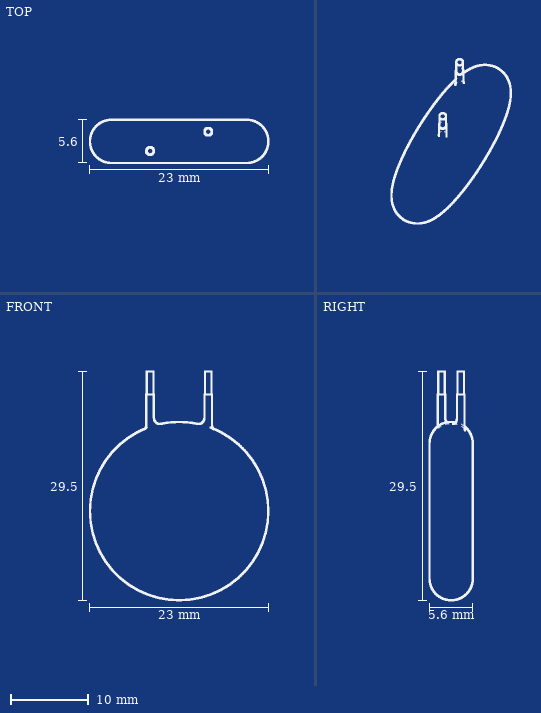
import cadquery as cq

body_diameter = 23.0
body_thickness = 5.6
body_radius = body_diameter / 2
rim_radius = body_thickness / 2
flat_radius = body_radius - rim_radius

total_height = 29.5
lead_offset_x = 3.75
lead_offset_y = 1.25
sleeve_diameter = 1.0
wire_diameter = 0.88
wire_length = 2.95
root_fillet = 1.0
lead_top = total_height - body_radius
sleeve_top = lead_top - wire_length


def make_half_rim():
    """Revolve the semicircular rim section half a turn, on the negative X side of the disc."""
    return (
        cq.Workplane("YZ")
        .moveTo(-rim_radius, flat_radius)
        .threePointArc((0, body_radius), (rim_radius, flat_radius))
        .close()
        .revolve(180, (0, 0, 0), (-1, 0, 0))
    )


def make_post(x, y, diameter, bottom, top):
    """Upright cylinder between two heights."""
    return (
        cq.Workplane("XY")
        .workplane(offset=bottom)
        .center(x, y)
        .circle(diameter / 2)
        .extrude(top - bottom)
    )


def add_lead(part, x, y):
    """Add an insulated sleeve blended into the rim, with a bare wire end above it."""
    sleeve = make_post(x, y, sleeve_diameter, flat_radius, sleeve_top)
    wire = make_post(x, y, wire_diameter, sleeve_top, lead_top)
    joined = part.union(sleeve.union(wire))
    reach = sleeve_diameter
    root_zone = cq.selectors.BoxSelector(
        (x - reach, y - reach, flat_radius),
        (x + reach, y + reach, body_radius),
        boundingbox=True,
    )
    return joined.edges(root_zone).fillet(root_fillet)


left_half = add_lead(make_half_rim(), -lead_offset_x, -lead_offset_y)
right_half = left_half.rotate((0, 0, 0), (0, 0, 1), 180)

core = cq.Workplane("XZ").circle(flat_radius).extrude(rim_radius, both=True)
result = core.union(left_half, glue=True, clean=False).union(right_half, glue=True, clean=False)